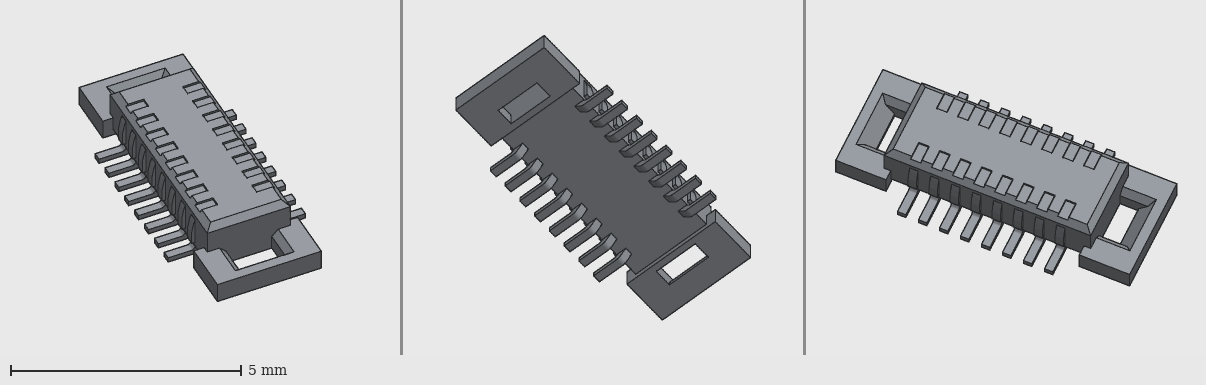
import cadquery as cq
import math

TOTAL_LENGTH = 7.0
TOTAL_WIDTH = 3.3
TOTAL_HEIGHT = 1.25

BODY_LENGTH = 4.92
BODY_WIDTH = 2.0
BODY_BOTTOM = 0.2
BODY_CHAMFER = 0.15

EAR_LENGTH = 1.2
EAR_WIDTH = 2.5
EAR_BOTTOM = 0.05
EAR_HEIGHT = 0.5
EAR_END_WALL = 0.24
OPENING_WIDTH = 1.41
OPENING_SIDE_TAPER = 0.155
OPENING_END_TAPER = 0.355
OPENING_END_TAPER_DEPTH = 0.4

CONTACTS_PER_ROW = 8
PITCH = 0.5
CONTACT_WIDTH = 0.2

SLOT_WIDTH = 0.24
SLOT_DEPTH = 0.05
SLOT_INNER_Y = 0.47

PAD_THICKNESS = 0.085
PAD_SHOULDER_THICKNESS = 0.045
PAD_BOTTOM = 0.33
PAD_SLOPE_START = 0.65
PAD_SLOPE_END = 0.86
PAD_TOP = 0.99

LEAD_THICKNESS = 0.125
LEAD_ANGLE = math.radians(45)
LEAD_UPPER_BEND_Y = 1.088
LEAD_UPPER_RADIUS = 0.06
LEAD_LOWER_BEND_Y = 1.0
LEAD_LOWER_RADIUS = 0.15

EMBED = 0.1

HALF_WIDTH = BODY_WIDTH / 2
CONTACT_XS = [(i - (CONTACTS_PER_ROW - 1) / 2) * PITCH for i in range(CONTACTS_PER_ROW)]


def block(x_min, x_max, y_min, y_max, z_min, z_max):
    size = (x_max - x_min, y_max - y_min, z_max - z_min)
    return cq.Workplane("XY").box(*size, centered=False).translate((x_min, y_min, z_min))


def make_body():
    height = TOTAL_HEIGHT - BODY_BOTTOM
    body = cq.Workplane("XY").workplane(offset=BODY_BOTTOM)
    body = body.rect(BODY_LENGTH, BODY_WIDTH).extrude(height)
    return body.faces(">Z").edges().chamfer(BODY_CHAMFER)


def make_ear():
    """Ear at the +X end; its opening runs inward to the housing end face."""
    x_outer = TOTAL_LENGTH / 2
    x_inner = x_outer - EAR_LENGTH
    x_body = BODY_LENGTH / 2
    x_opening = x_outer - EAR_END_WALL
    z_top = EAR_BOTTOM + EAR_HEIGHT
    ear = block(x_inner, x_outer, -EAR_WIDTH / 2, EAR_WIDTH / 2, EAR_BOTTOM, z_top)

    end_profile = (
        cq.Workplane("XZ")
        .moveTo(x_body, z_top)
        .lineTo(x_opening, z_top)
        .lineTo(x_opening - OPENING_END_TAPER, z_top - OPENING_END_TAPER_DEPTH)
        .lineTo(x_opening - OPENING_END_TAPER, EAR_BOTTOM)
        .lineTo(x_body, EAR_BOTTOM)
        .close()
        .extrude(OPENING_WIDTH / 2, both=True)
    )
    wide = OPENING_WIDTH / 2
    narrow = wide - OPENING_SIDE_TAPER
    z_taper = z_top - OPENING_SIDE_TAPER
    side_profile = (
        cq.Workplane("YZ", origin=(x_inner, 0, 0))
        .polyline([
            (-wide, z_top),
            (wide, z_top),
            (narrow, z_taper),
            (narrow, EAR_BOTTOM),
            (-narrow, EAR_BOTTOM),
            (-narrow, z_taper),
        ])
        .close()
        .extrude(EAR_LENGTH)
    )
    return ear.cut(end_profile.intersect(side_profile))


def make_pad(x):
    """Side contact pad on the +Y side: upright face, slope, rounded top."""
    return (
        cq.Workplane("YZ", origin=(x, 0, 0))
        .moveTo(HALF_WIDTH - EMBED, PAD_BOTTOM)
        .lineTo(HALF_WIDTH + PAD_THICKNESS, PAD_BOTTOM)
        .lineTo(HALF_WIDTH + PAD_THICKNESS, PAD_SLOPE_START)
        .lineTo(HALF_WIDTH + PAD_SHOULDER_THICKNESS, PAD_SLOPE_END)
        .tangentArcPoint((HALF_WIDTH, PAD_TOP), relative=False)
        .lineTo(HALF_WIDTH - EMBED, PAD_TOP)
        .close()
        .extrude(CONTACT_WIDTH / 2, both=True)
    )


def make_lead(x):
    """Solder lead on the +Y side: flat foot with a rounded bend up into the housing."""
    tip_y = TOTAL_WIDTH / 2
    top_z = BODY_BOTTOM + EMBED
    run = math.sin(LEAD_ANGLE)
    rise = 1 - math.cos(LEAD_ANGLE)
    upper_y = LEAD_UPPER_BEND_Y - LEAD_UPPER_RADIUS * run
    upper_z = LEAD_THICKNESS + LEAD_UPPER_RADIUS * rise
    lower_y = LEAD_LOWER_BEND_Y - LEAD_LOWER_RADIUS * run
    lower_z = LEAD_LOWER_RADIUS * rise
    slope = math.tan(LEAD_ANGLE)
    upper_end_y = upper_y - (top_z - upper_z) / slope
    lower_end_y = lower_y - (top_z - lower_z) / slope
    return (
        cq.Workplane("YZ", origin=(x, 0, 0))
        .moveTo(upper_end_y, top_z)
        .lineTo(lower_end_y, top_z)
        .lineTo(lower_y, lower_z)
        .tangentArcPoint((LEAD_LOWER_BEND_Y, 0), relative=False)
        .lineTo(tip_y, 0)
        .lineTo(tip_y, LEAD_THICKNESS)
        .lineTo(LEAD_UPPER_BEND_Y, LEAD_THICKNESS)
        .tangentArcPoint((upper_y, upper_z), relative=False)
        .close()
        .extrude(CONTACT_WIDTH / 2, both=True)
    )


def make_slot(x):
    """Shallow slot on the +Y side of the top face, open through the chamfer."""
    half = SLOT_WIDTH / 2
    return block(x - half, x + half, SLOT_INNER_Y, HALF_WIDTH, TOTAL_HEIGHT - SLOT_DEPTH, TOTAL_HEIGHT)


result = make_body()

for x in CONTACT_XS:
    slot = make_slot(x)
    result = result.cut(slot).cut(slot.mirror("XZ"))

ear = make_ear()
result = result.union(ear).union(ear.mirror("YZ"))

for x in CONTACT_XS:
    for feature in (make_pad(x), make_lead(x)):
        result = result.union(feature).union(feature.mirror("XZ"))